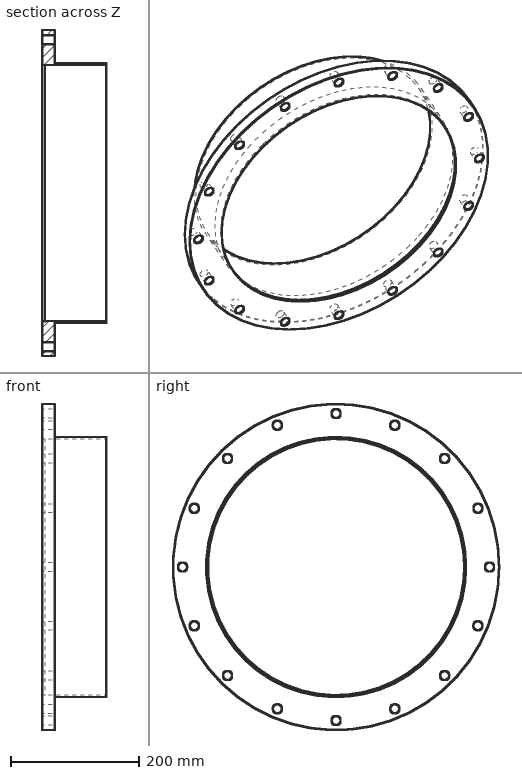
import cadquery as cq

flange_diameter = 510.0
flange_thickness = 20.0
flange_bore = 400.5
rim_chamfer = 0.75

overall_length = 100.0
spigot_diameter = 406.5
spigot_bore = 400.0
spigot_setback = 4.5

bolt_count = 16
bolt_hole_diameter = 14.0
bolt_hole_chamfer = 0.75
bolt_circle_diameter = 479.5


def ring(outer_diameter, inner_diameter, start, end):
    """Ring around the X axis, from X = start to X = end."""
    return (
        cq.Workplane("YZ", origin=(start, 0, 0))
        .circle(outer_diameter / 2)
        .circle(inner_diameter / 2)
        .extrude(end - start)
    )


def flange_plate():
    """Flange with both outer rim edges chamfered, drilled on the bolt circle."""
    disc = cq.Workplane("YZ").circle(flange_diameter / 2).extrude(flange_thickness)
    return (
        disc.edges()
        .chamfer(rim_chamfer)
        .cut(cq.Workplane("YZ").circle(flange_bore / 2).extrude(flange_thickness))
        .cut(bolt_holes())
    )


def bolt_holes():
    """Through holes on the bolt circle, one of them on +Y, each eased at the outer face."""
    mouth_diameter = bolt_hole_diameter + 2 * bolt_hole_chamfer
    centers = cq.Workplane("YZ").polarArray(bolt_circle_diameter / 2, 0, 360, bolt_count)
    shanks = centers.circle(bolt_hole_diameter / 2).extrude(flange_thickness)
    mouths = centers.circle(mouth_diameter / 2).extrude(bolt_hole_chamfer, taper=45)
    return shanks.union(mouths)


spigot = ring(spigot_diameter, spigot_bore, spigot_setback, overall_length)
result = flange_plate().union(spigot)